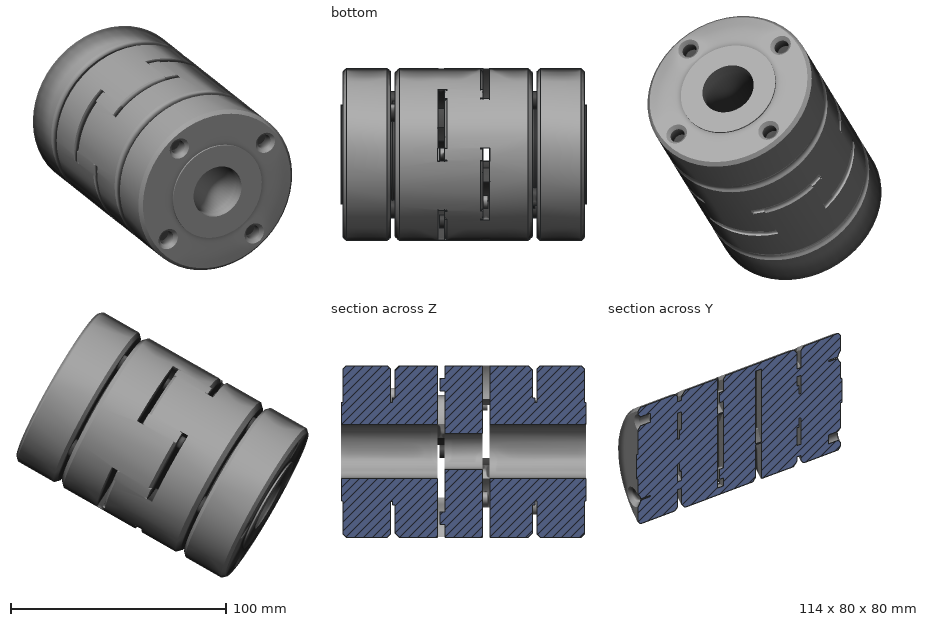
import cadquery as cq
import math

LENGTH = 114.0
DISC_LENGTH = 22.2
LIP_HEIGHT = 0.8
GAP = 1.9
SLOT_WIDTH = 3.1
MIDDLE_LENGTH = 17.9

OUTER_DIAMETER = 80.0
LIP_DIAMETER = 46.0
BOSS_DIAMETER = 50.0
BORE_DIAMETER = 25.0
CENTRE_BORE_DIAMETER = 16.5
DISC_CHAMFER = 1.6
BODY_CHAMFER = 2.0

BOLT_COUNT = 4
BOLT_CIRCLE_RADIUS = 31.9
BOLT_ANGLE = 37.6
BOLT_DIAMETER = 8.3
BOLT_HOLE_DIAMETER = 6.8
BOLT_HOLE_DEPTH = 6.8
COUNTERSINK_DIAMETER = 10.0

SLOT_COUNT = 4
SLOT_ANGLE = 22.5
SLOT_CUT_DIAMETER = 37.3
PITCH_RADIUS = 31.0
PIN_OFFSET = 22.5
PIN_DIAMETER = 6.0
PIN_LENGTH = 2.3

EDGE_CHAMFER_WIDTH = 1.3
EDGE_CHAMFER_DEPTH = 1.7
EDGE_CHAMFER_HALF_ANGLE = 18.4
TAB_GAP_ANGLE = 0.5

OUTER_RADIUS = OUTER_DIAMETER / 2
END_X = LENGTH / 2
DISC_OUTER_X = END_X - LIP_HEIGHT
DISC_INNER_X = DISC_OUTER_X - DISC_LENGTH
BODY_X = DISC_INNER_X - GAP
MIDDLE_X = MIDDLE_LENGTH / 2
SLOT_OUTER_X = MIDDLE_X + SLOT_WIDTH

SLOT_HALF_ANGLE = math.degrees(
    math.acos(
        (OUTER_RADIUS**2 + PITCH_RADIUS**2 - (SLOT_CUT_DIAMETER / 2) ** 2)
        / (2 * OUTER_RADIUS * PITCH_RADIUS)
    )
)


def polar(radius, angle):
    """Point in the plane across the axis, with the angle in degrees."""
    return radius * math.cos(math.radians(angle)), radius * math.sin(math.radians(angle))


def plane_at(x):
    """Plane across the axis; its local x is -Y and its local y is +Z."""
    return cq.Workplane(cq.Plane(origin=(x, 0, 0), xDir=(0, -1, 0), normal=(-1, 0, 0)))


def rotate(shape, angle):
    """Turn about the axis, from -Y towards +Z."""
    return shape.rotate((0, 0, 0), (-1, 0, 0), angle)


def cylinder(diameter, start_x, length):
    """Cylinder on the axis, growing towards +X."""
    return plane_at(start_x).circle(diameter / 2).extrude(-length)


def cylinders(points, diameter, start_x, length):
    """Equal cylinders beside the axis, growing towards +X."""
    return plane_at(start_x).pushPoints(points).circle(diameter / 2).extrude(-length)


def to_right(shape, angle):
    """Copy from the -X half to the +X half, turned about the axis."""
    return rotate(shape.mirror("YZ"), angle)


def circle_points(count, radius, first_angle):
    """Evenly spaced points around the axis."""
    return [polar(radius, first_angle + i * 360 / count) for i in range(count)]


def bolt_points():
    return circle_points(BOLT_COUNT, BOLT_CIRCLE_RADIUS, BOLT_ANGLE)


def end_disc():
    """Disc on the -X side with its lips and the bolts that span its gap."""
    disc = cylinder(OUTER_DIAMETER, -DISC_OUTER_X, DISC_LENGTH).edges().chamfer(DISC_CHAMFER)
    lips = cylinder(LIP_DIAMETER, -END_X, DISC_LENGTH + 2 * LIP_HEIGHT)
    boss = cylinder(BOSS_DIAMETER, -DISC_INNER_X + LIP_HEIGHT, GAP - LIP_HEIGHT)
    bolts = cylinders(bolt_points(), BOLT_DIAMETER, -DISC_INNER_X, GAP)
    return disc.union(lips).union(boss).union(bolts)


def bolt_holes():
    """Blind countersunk holes in the -X face."""
    sink_depth = (COUNTERSINK_DIAMETER - BOLT_HOLE_DIAMETER) / 2
    holes = cylinders(bolt_points(), BOLT_HOLE_DIAMETER, -DISC_OUTER_X, BOLT_HOLE_DEPTH)
    for minus_y, z in bolt_points():
        sink = cq.Solid.makeCone(
            COUNTERSINK_DIAMETER / 2,
            BOLT_HOLE_DIAMETER / 2,
            sink_depth,
            pnt=cq.Vector(-DISC_OUTER_X, -minus_y, z),
            dir=cq.Vector(1, 0, 0),
        )
        holes = holes.union(cq.Workplane(sink))
    return holes


def slot_cavity():
    """Slotted plane on the -X side: a round hollow that opens outwards through four slots."""
    centres = circle_points(SLOT_COUNT, PITCH_RADIUS, SLOT_ANGLE)
    hollow = cylinder(BOSS_DIAMETER, -SLOT_OUTER_X, SLOT_WIDTH)
    slots = cylinders(centres, SLOT_CUT_DIAMETER, -SLOT_OUTER_X, SLOT_WIDTH)
    return hollow.union(slots)


def edge_chamfer(start_angle, end_angle):
    """Chamfer cut on the middle ring's outer edge between two angles."""
    profile = cq.Workplane("XY").polyline(
        [
            (-MIDDLE_X, -OUTER_RADIUS),
            (-MIDDLE_X + EDGE_CHAMFER_WIDTH, -OUTER_RADIUS),
            (-MIDDLE_X, -OUTER_RADIUS + EDGE_CHAMFER_DEPTH),
        ]
    )
    cut = profile.close().revolve(end_angle - start_angle, (0, 0, 0), (-1, 0, 0))
    return rotate(cut, start_angle)


def edge_chamfers():
    """All chamfer cuts on the -X edge of the middle ring."""
    spans = [
        (-SLOT_HALF_ANGLE, -SLOT_HALF_ANGLE + TAB_GAP_ANGLE),
        (-EDGE_CHAMFER_HALF_ANGLE, EDGE_CHAMFER_HALF_ANGLE),
        (SLOT_HALF_ANGLE - TAB_GAP_ANGLE, SLOT_HALF_ANGLE),
    ]
    cuts = cq.Workplane()
    for i in range(SLOT_COUNT):
        middle = SLOT_ANGLE + i * 360 / SLOT_COUNT
        for start, end in spans:
            cuts = cuts.add(edge_chamfer(middle + start, middle + end))
    return cuts.combine()


def pins():
    """Pins standing on the -X face of the middle ring, one near the end of each slot."""
    points = circle_points(SLOT_COUNT, PITCH_RADIUS, SLOT_ANGLE - PIN_OFFSET)
    return cylinders(points, PIN_DIAMETER, -MIDDLE_X - PIN_LENGTH, PIN_LENGTH)


result = cylinder(OUTER_DIAMETER, -BODY_X, 2 * BODY_X).edges().chamfer(BODY_CHAMFER)

left_disc = end_disc()
left_holes = bolt_holes()
right_bolt_turn = -2 * BOLT_ANGLE
result = result.union(left_disc).union(to_right(left_disc, right_bolt_turn))
result = result.cut(left_holes).cut(to_right(left_holes, right_bolt_turn))

result = result.cut(cylinder(CENTRE_BORE_DIAMETER, -END_X, LENGTH))
hub_bore = cylinder(BORE_DIAMETER, -END_X, END_X - SLOT_OUTER_X)
result = result.cut(hub_bore).cut(to_right(hub_bore, 0))

right_slot_turn = -2 * SLOT_ANGLE
for cutter in (slot_cavity(), edge_chamfers()):
    result = result.cut(cutter).cut(to_right(cutter, right_slot_turn))

left_pins = pins()
result = result.union(left_pins).union(to_right(left_pins, right_slot_turn))